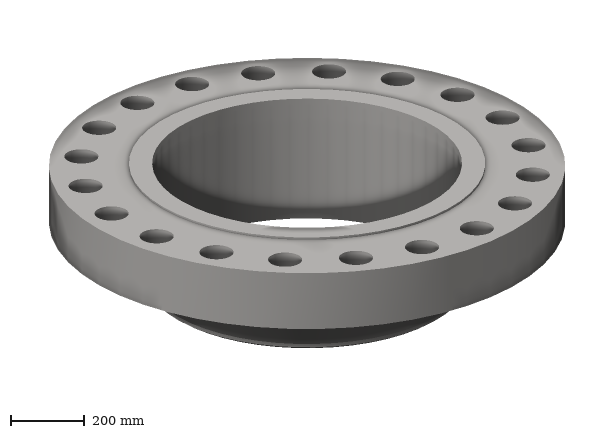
import cadquery as cq

flange_diameter = 1397.0
flange_thickness = 166.0
bore_diameter = 838.0

face_diameter = 964.0
face_height = 7.0

total_height = 356.0
hub_diameter = 1006.0
hub_fillet = 18.0
neck_diameter = 866.0
neck_straight = 17.0
bevel_height = 7.0
bevel_width = 10.0

bolt_count = 20
bolt_circle_diameter = 1227.0
bolt_hole_diameter = 92.0

flange_top = total_height - face_height
flange_bottom = flange_top - flange_thickness


def revolved_body():
    """Disc, raised face and neck revolved about Z, with the hub root rounded."""
    bore_radius = bore_diameter / 2
    neck_radius = neck_diameter / 2
    section = (
        cq.Workplane("XZ")
        .moveTo(bore_radius, 0)
        .lineTo(neck_radius - bevel_width, 0)
        .lineTo(neck_radius, bevel_height)
        .lineTo(neck_radius, neck_straight)
        .lineTo(hub_diameter / 2, flange_bottom)
        .lineTo(flange_diameter / 2, flange_bottom)
        .lineTo(flange_diameter / 2, flange_top)
        .lineTo(face_diameter / 2, flange_top)
        .lineTo(face_diameter / 2, total_height)
        .lineTo(bore_radius, total_height)
        .close()
    )
    body = section.revolve(360, (0, 0, 0), (0, 1, 0))
    underside = body.faces("|Z").faces("<Z[-2]")
    hub_root = underside.edges(cq.selectors.RadiusNthSelector(0)).val()
    return body.newObject([hub_root]).fillet(hub_fillet)


def bolt_holes():
    """Cylinders through the disc, the first one on the +X axis."""
    return (
        cq.Workplane("XY")
        .workplane(offset=flange_bottom)
        .polarArray(bolt_circle_diameter / 2, 0, 360, bolt_count)
        .circle(bolt_hole_diameter / 2)
        .extrude(flange_thickness)
    )


result = revolved_body().cut(bolt_holes())